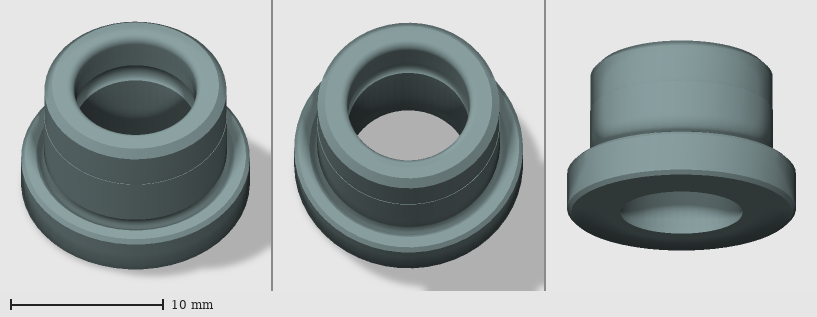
import cadquery as cq
import math

flange_radius = 7.5
flange_height = 3.0
flange_chamfer = 0.25

total_height = 10.0
neck_radius = 6.0
lead_in_radius = 5.97
lead_in_start = 7.0
lead_in_chamfer = 0.5

relief_reach = 0.5
neck_wall_run = 0.38
flange_wall_run = 0.28
relief_floor_radius = 5.88
relief_floor_depth = 0.39

bore_radius = 4.0
bore_fillet = 0.5
bore_groove_bottom = 5.9
bore_groove_top = 7.41
bore_groove_depth = 0.5

neck_wall_end = (neck_radius - neck_wall_run, flange_height + relief_reach - neck_wall_run)
flange_wall_end = (neck_radius + relief_reach - flange_wall_run, flange_height - flange_wall_run)
relief_floor = (relief_floor_radius, flange_height - relief_floor_depth)

fillet_mid_offset = bore_fillet * (1 - math.sqrt(0.5))
bore_groove_middle = (bore_groove_bottom + bore_groove_top) / 2

profile = (
    cq.Workplane("XZ")
    .moveTo(bore_radius, 0)
    .lineTo(flange_radius - flange_chamfer, 0)
    .lineTo(flange_radius, flange_chamfer)
    .lineTo(flange_radius, flange_height - flange_chamfer)
    .lineTo(flange_radius - flange_chamfer, flange_height)
    .lineTo(neck_radius + relief_reach, flange_height)
    .lineTo(*flange_wall_end)
    .tangentArcPoint(relief_floor, relative=False)
    .tangentArcPoint(neck_wall_end, relative=False)
    .lineTo(neck_radius, flange_height + relief_reach)
    .lineTo(neck_radius, lead_in_start)
    .lineTo(lead_in_radius, lead_in_start)
    .lineTo(lead_in_radius, total_height - lead_in_chamfer)
    .lineTo(lead_in_radius - lead_in_chamfer, total_height)
    .lineTo(bore_radius + bore_fillet, total_height)
    .threePointArc(
        (bore_radius + fillet_mid_offset, total_height - fillet_mid_offset),
        (bore_radius, total_height - bore_fillet),
    )
    .lineTo(bore_radius, bore_groove_top)
    .threePointArc((bore_radius + bore_groove_depth, bore_groove_middle), (bore_radius, bore_groove_bottom))
    .close()
)

result = profile.revolve(360, (0, 0, 0), (0, 1, 0))